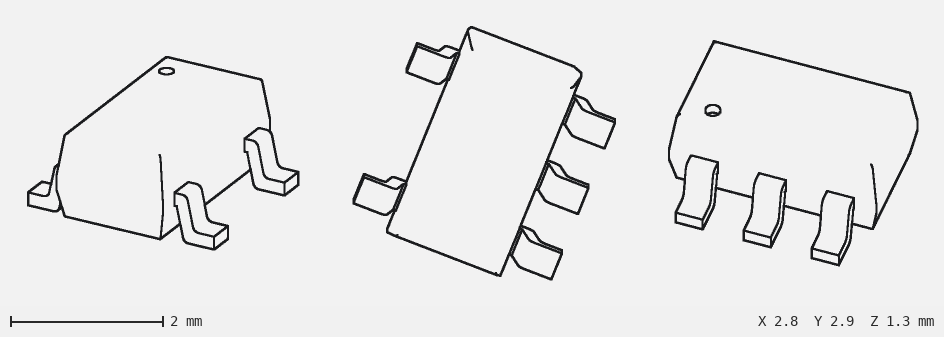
import cadquery as cq
import math

TOTAL_SPAN = 2.8
TOTAL_HEIGHT = 1.3

BODY_WIDTH = 1.605
BODY_LENGTH = 2.9
BODY_BOTTOM = 0.075
UPPER_EDGE_RADIUS = 0.05
LOWER_EDGE_RADIUS = 0.038
UPPER_DRAFT = 7.7
LOWER_DRAFT = 11.0

MARK_DIAMETER = 0.2
MARK_DEPTH = 0.15
MARK_FROM_SIDE = 0.322
MARK_FROM_END = 0.5

LEAD_THICKNESS = 0.188
LEAD_WIDTH = 0.38
LEAD_PITCH = 0.95
LEAD_TOP = 0.69
LEAD_LEAN = 12.0
LEAD_BEND_RADIUS = 0.087
HEEL_FROM_TIP = 0.455

BAND_TOP = LEAD_TOP
BAND_BOTTOM = BAND_TOP - LEAD_THICKNESS


def make_body():
    """Body with a straight middle band, drafted halves and a pin-one mark."""
    band = (
        cq.Workplane("XY", origin=(0, 0, BAND_BOTTOM))
        .rect(BODY_WIDTH, BODY_LENGTH)
        .extrude(LEAD_THICKNESS)
    )
    upper = (
        cq.Workplane("XY", origin=(0, 0, BAND_TOP))
        .rect(BODY_WIDTH, BODY_LENGTH)
        .extrude(TOTAL_HEIGHT - BAND_TOP, taper=UPPER_DRAFT)
        .faces(">Z")
        .edges()
        .fillet(UPPER_EDGE_RADIUS)
    )
    lower = (
        cq.Workplane("XY", origin=(0, 0, BAND_BOTTOM))
        .rect(BODY_WIDTH, BODY_LENGTH)
        .extrude(BODY_BOTTOM - BAND_BOTTOM, taper=LOWER_DRAFT)
        .faces("<Z")
        .edges()
        .fillet(LOWER_EDGE_RADIUS)
    )
    mark_x = -BODY_WIDTH / 2 + MARK_FROM_SIDE
    mark_y = BODY_LENGTH / 2 - MARK_FROM_END
    mark = (
        cq.Workplane("XY", origin=(mark_x, mark_y, TOTAL_HEIGHT))
        .circle(MARK_DIAMETER / 2)
        .extrude(-MARK_DEPTH)
    )
    return band.union(upper).union(lower).cut(mark)


def make_lead(side, y):
    """Gull-wing lead centred at y, on the -X side (side = -1) or +X side (side = 1)."""
    tip_x = -TOTAL_SPAN / 2
    body_x = -BODY_WIDTH / 2
    lean = math.radians(LEAD_LEAN)
    heel_x = tip_x + HEEL_FROM_TIP
    shin_x = heel_x - LEAD_THICKNESS / math.cos(lean)
    slope = math.tan(lean)

    heel = (heel_x, 0)
    instep = (shin_x + LEAD_THICKNESS * slope, LEAD_THICKNESS)
    shoulder = (shin_x + LEAD_TOP * slope, LEAD_TOP)
    armpit = (heel_x + BAND_BOTTOM * slope, BAND_BOTTOM)

    lead = (
        cq.Workplane("XZ", origin=(0, y + LEAD_WIDTH / 2, 0))
        .polyline([
            (tip_x, 0),
            heel,
            armpit,
            (body_x, BAND_BOTTOM),
            (body_x, LEAD_TOP),
            shoulder,
            instep,
            (tip_x, LEAD_THICKNESS),
        ])
        .close()
        .extrude(LEAD_WIDTH)
    )
    for bend_x, bend_z in (heel, instep, shoulder):
        bend_edge = cq.selectors.NearestToPointSelector((bend_x, y, bend_z))
        lead = lead.edges(bend_edge).fillet(LEAD_BEND_RADIUS)
    if side > 0:
        lead = lead.mirror("YZ")
    return lead.val()


body = make_body()

LEAD_ROWS = {-1: (-1, 0, 1), 1: (-1, 1)}
leads = []
for side, rows in LEAD_ROWS.items():
    for row in rows:
        leads.append(make_lead(side, row * LEAD_PITCH))

result = cq.Compound.makeCompound([body.val(), *leads])